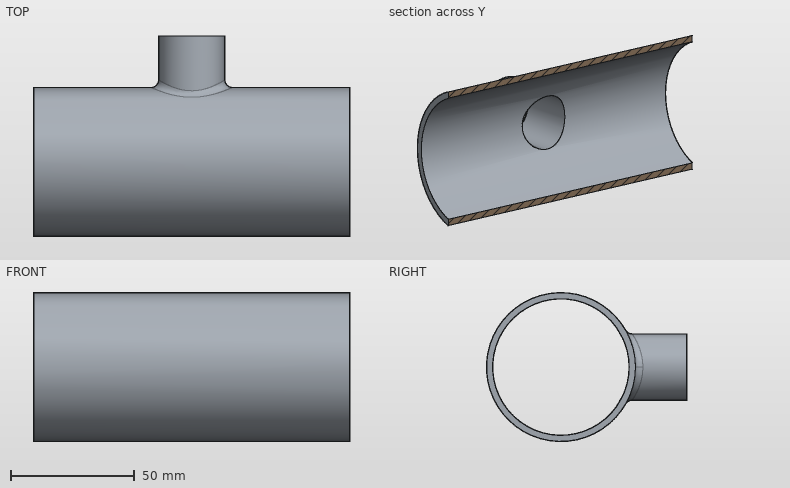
import cadquery as cq

run_length = 128.0
run_outer_diameter = 60.3
run_inner_diameter = 55.1
branch_outer_diameter = 26.9
branch_inner_diameter = 22.3
branch_reach = 51.0
junction_fillet = 3.0


def run_cylinder(diameter):
    """Cylinder along X, centred on the origin, as long as the run pipe."""
    return cq.Workplane("YZ").circle(diameter / 2).extrude(run_length / 2, both=True)


def branch_cylinder(diameter):
    """Cylinder from the run axis out to the open end of the branch at +Y."""
    return cq.Workplane("XZ").circle(diameter / 2).extrude(-branch_reach)


def outer_body():
    """Solid run and branch, blended where their outer walls meet."""
    body = run_cylinder(run_outer_diameter).union(branch_cylinder(branch_outer_diameter))
    zone_top = run_outer_diameter / 2 + junction_fillet
    junction_zone = cq.selectors.BoxSelector(
        (-branch_outer_diameter, 0, -branch_outer_diameter),
        (branch_outer_diameter, zone_top, branch_outer_diameter),
        boundingbox=True,
    )
    return body.edges(junction_zone).fillet(junction_fillet)


def bores():
    """Run bore joined with the branch bore that opens into it."""
    return run_cylinder(run_inner_diameter).union(branch_cylinder(branch_inner_diameter))


result = outer_body().cut(bores())